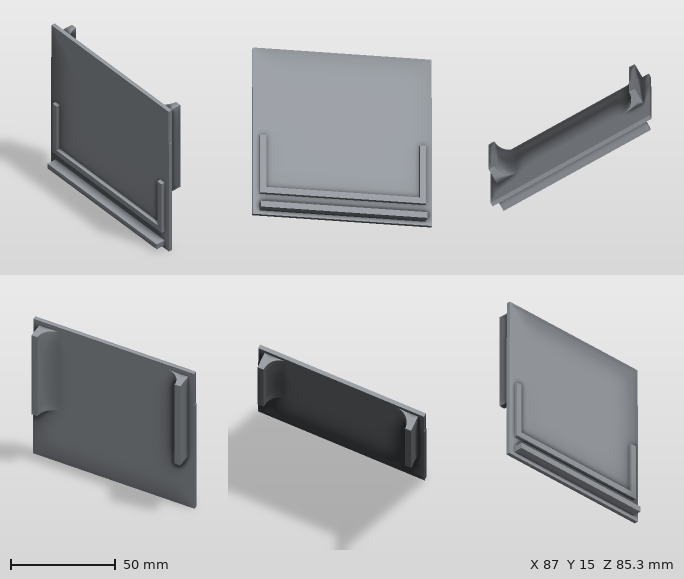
import cadquery as cq

plate_width = 87.0
plate_height = 85.3
plate_thickness = 2.0
upper_height = 19.75
side_step = 0.3

rail_margin = 3.2
rail_width = plate_width - 2 * rail_margin
rail_thickness = 3.05
frame_bottom = 10.4
frame_height = 29.75
frame_depth = 2.0
ledge_bottom = 2.0
ledge_depth = 5.0
ledge_height = 3.0

bracket_outer_x = plate_width / 2 - rail_margin - side_step
bracket_tip_width = 3.1
bracket_depth = 8.0
bracket_height = 50.0
bracket_top_gap = 3.0


def block(width, y_start, y_end, z_bottom, height):
    """Box centred on x = 0."""
    return cq.Workplane("XY").box(width, y_end - y_start, height, centered=(True, False, False)).translate(
        (0, y_start, z_bottom)
    )


def make_plate():
    """Plate whose upper part is stepped in slightly on both sides."""
    lower_height = plate_height - upper_height
    lower = block(plate_width, 0, plate_thickness, 0, lower_height)
    upper = block(plate_width - 2 * side_step, 0, plate_thickness, lower_height, upper_height)
    return lower.union(upper)


def make_frame():
    """U-shaped frame, open at the top."""
    outer = block(rail_width, -frame_depth, 0, frame_bottom, frame_height)
    opening = block(
        rail_width - 2 * rail_thickness,
        -frame_depth,
        0,
        frame_bottom + rail_thickness,
        frame_height - rail_thickness,
    )
    return outer.cut(opening)


def make_bracket():
    """Bracket on the +X side; a concave quarter circle runs from its tip to the plate."""
    tip_y = plate_thickness + bracket_depth
    tip_inner_x = bracket_outer_x - bracket_tip_width
    arc_offset = bracket_depth * (1 - 0.5**0.5)
    bracket_bottom = plate_height - bracket_top_gap - bracket_height
    return (
        cq.Workplane("XY")
        .workplane(offset=bracket_bottom)
        .moveTo(bracket_outer_x, 0)
        .lineTo(bracket_outer_x, tip_y)
        .lineTo(tip_inner_x, tip_y)
        .threePointArc(
            (tip_inner_x - arc_offset, plate_thickness + arc_offset),
            (tip_inner_x - bracket_depth, plate_thickness),
        )
        .lineTo(tip_inner_x - bracket_depth, 0)
        .close()
        .extrude(bracket_height)
    )


ledge = block(rail_width, -ledge_depth, 0, ledge_bottom, ledge_height)
bracket = make_bracket()

result = make_plate().union(make_frame()).union(ledge).union(bracket).union(bracket.mirror("YZ"))